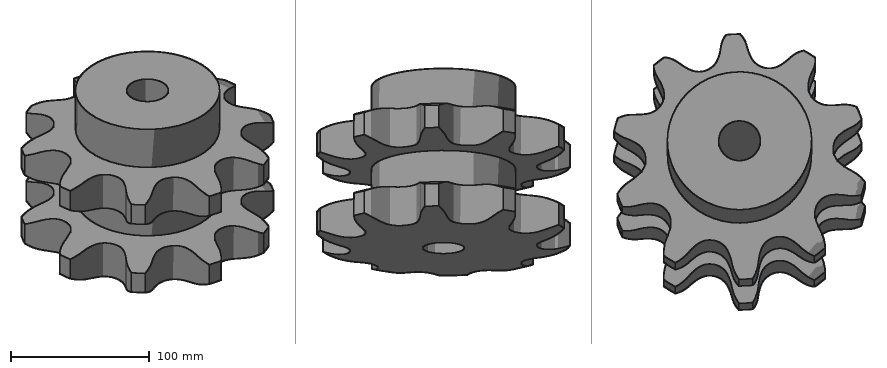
import cadquery as cq
import math


tooth_count = 10
chain_pitch = 50.7
roller_diameter = 28.7
tip_radius = 92.5

plate_thickness = 28.9
strand_spacing = 58.6
side_flat_radius = 68.5
rim_width = 16.6

hub_diameter = 104.0
bore_diameter = 30.0
total_height = 120.0

seating_ratio = 1.005
working_center_ratio = 0.8
topping_center_ratio = 1.4
seating_angle = math.radians(35 + 60 / tooth_count)
working_angle = math.radians(18 - 56 / tooth_count)

half_tooth_angle = math.pi / tooth_count
pitch_radius = chain_pitch / 2 / math.sin(half_tooth_angle)


def polar(center, radius, angle):
    """Point at a distance and direction from a center."""
    return (center[0] + radius * math.cos(angle), center[1] + radius * math.sin(angle))


def mirrored(point):
    """Point on the opposite flank of a gap centered on the Y axis."""
    return (-point[0], point[1])


def tooth_gap():
    """Space between two teeth, centered on the Y axis, through both plates."""
    roller_center = (0, pitch_radius)
    seating_radius = seating_ratio * roller_diameter / 2
    working_offset = working_center_ratio * roller_diameter
    topping_offset = topping_center_ratio * roller_diameter

    root = (0, pitch_radius - seating_radius)
    seat_end = polar(roller_center, seating_radius, -seating_angle)

    working_center = polar(roller_center, working_offset, math.pi - seating_angle)
    working_radius = working_offset + seating_radius
    flank_normal = working_angle - seating_angle
    working_middle = polar(working_center, working_radius, (flank_normal - seating_angle) / 2)
    working_end = polar(working_center, working_radius, flank_normal)

    topping_center = polar(roller_center, topping_offset, -half_tooth_angle)
    topping_radius = (
        topping_offset * math.cos(flank_normal + half_tooth_angle)
        + working_offset * math.cos(working_angle)
        - working_radius
    )
    topping_start = polar(topping_center, topping_radius, flank_normal + math.pi)
    apex_angle = math.acos((topping_offset - chain_pitch / 2) / topping_radius)
    apex_direction = math.pi - half_tooth_angle - apex_angle
    topping_middle_direction = (flank_normal + math.pi + apex_direction) / 2
    topping_middle = polar(topping_center, topping_radius, topping_middle_direction)
    apex = polar(topping_center, topping_radius, apex_direction)

    return (
        cq.Workplane("XY")
        .moveTo(*mirrored(apex))
        .threePointArc(mirrored(topping_middle), mirrored(topping_start))
        .lineTo(*mirrored(working_end))
        .threePointArc(mirrored(working_middle), mirrored(seat_end))
        .threePointArc(root, seat_end)
        .threePointArc(working_middle, working_end)
        .lineTo(*topping_start)
        .threePointArc(topping_middle, apex)
        .close()
        .extrude(total_height)
    )


def plate_blank():
    """Round plate standing on Z = 0, its sides curving in toward the rim."""
    rounding_run = tip_radius - side_flat_radius
    rounding_drop = (plate_thickness - rim_width) / 2
    rounding_radius = (rounding_run**2 + rounding_drop**2) / (2 * rounding_drop)
    half_sweep = math.asin(rounding_run / rounding_radius) / 2

    middle_radius = side_flat_radius + rounding_radius * math.sin(half_sweep)
    middle_drop = rounding_radius * (1 - math.cos(half_sweep))
    return (
        cq.Workplane("XZ")
        .lineTo(side_flat_radius, 0)
        .threePointArc((middle_radius, middle_drop), (tip_radius, rounding_drop))
        .lineTo(tip_radius, plate_thickness - rounding_drop)
        .threePointArc(
            (middle_radius, plate_thickness - middle_drop),
            (side_flat_radius, plate_thickness),
        )
        .lineTo(0, plate_thickness)
        .close()
        .revolve(360, (0, 0, 0), (0, 1, 0))
    )


def hub():
    """Plain cylinder over the full height."""
    return cq.Workplane("XY").circle(hub_diameter / 2).extrude(total_height)


toothed_plate = plate_blank()
gap = tooth_gap()
tooth_step = 360 / tooth_count
first_gap_angle = tooth_step / 2 - 90
for index in range(tooth_count):
    gap_angle = first_gap_angle + index * tooth_step
    toothed_plate = toothed_plate.cut(gap.rotate((0, 0, 0), (0, 0, 1), gap_angle))

bore = cq.Workplane("XY").circle(bore_diameter / 2).extrude(total_height)
result = (
    hub()
    .union(toothed_plate)
    .union(toothed_plate.translate((0, 0, strand_spacing)))
    .cut(bore)
)